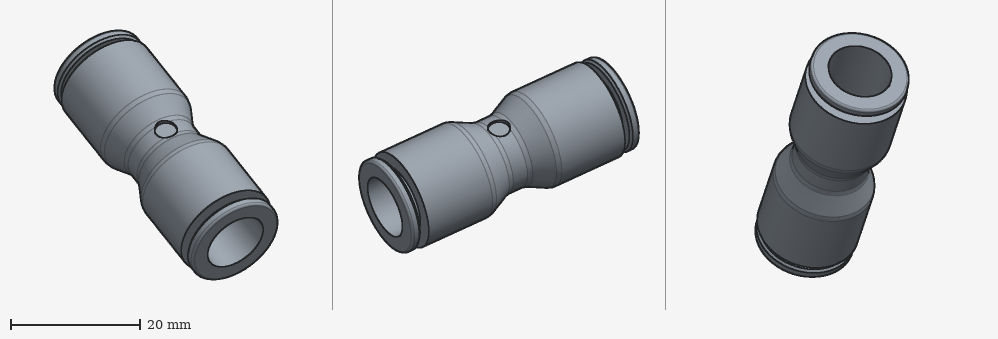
import cadquery as cq

overall_length = 41.8
bore_radius = 5.0

body_length = 36.0
body_radius = 8.05
waist_radius = 6.1
waist_length = 3.5
cone_length = 4.15
blend_radius = 2.0

collar_radius = 7.8
collar_thickness = 1.7
collar_edge = 0.4
sleeve_radius = 5.6

recess_radius = 1.75
recess_depth = 0.6

half_length = overall_length / 2
half_body = body_length / 2
half_waist = waist_length / 2
cone_outer_x = half_waist + cone_length


def cylinder_along_x(radius, start_x, length):
    return cq.Workplane("YZ").workplane(offset=start_x).circle(radius).extrude(length)


def circle_edge_at(x, radius):
    """Select the circular edges of the given radius lying at position x."""
    tolerance = 0.01
    return cq.selectors.BoxSelector(
        (x - tolerance, -radius, -radius),
        (x + tolerance, radius, radius),
    )


def make_body():
    half_profile = [
        (-half_body, 0),
        (-half_body, body_radius),
        (-cone_outer_x, body_radius),
        (-half_waist, waist_radius),
        (half_waist, waist_radius),
        (cone_outer_x, body_radius),
        (half_body, body_radius),
        (half_body, 0),
    ]
    body = cq.Workplane("XY").polyline(half_profile).close().revolve(360, (0, 0, 0), (1, 0, 0))
    for x, radius in ((half_waist, waist_radius), (cone_outer_x, body_radius)):
        for side in (-1, 1):
            body = body.edges(circle_edge_at(side * x, radius)).fillet(blend_radius)
    return body


def make_collar():
    """Collar at the -X end: rounded outer rim, chamfered inner rim."""
    collar = cylinder_along_x(collar_radius, -half_length, collar_thickness)
    return collar.edges("<X").fillet(collar_edge).edges(">X").chamfer(collar_edge)


def make_recess():
    floor_z = waist_radius - recess_depth
    return cq.Workplane("XY").workplane(offset=floor_z).circle(recess_radius).extrude(body_radius - floor_z)


collar = make_collar()
sleeve = cylinder_along_x(sleeve_radius, -half_length + collar_thickness / 2, overall_length - collar_thickness)
bore = cylinder_along_x(bore_radius, -half_length, overall_length)

result = (
    make_body()
    .union(sleeve)
    .union(collar)
    .union(collar.mirror("YZ"))
    .cut(make_recess())
    .cut(bore)
)